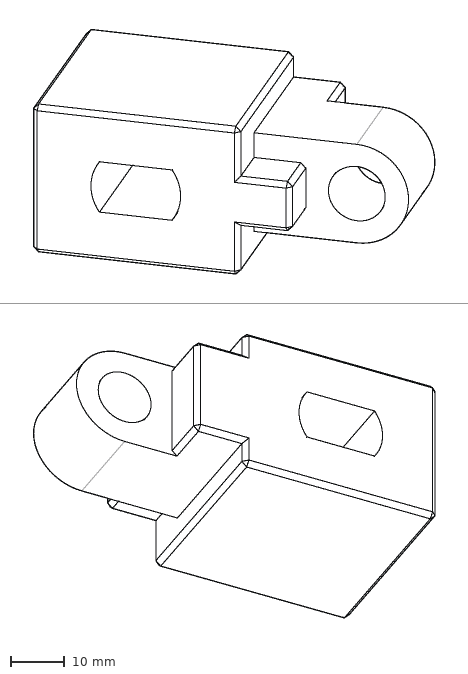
import cadquery as cq

body_length = 40.0
body_width = 38.0
body_height = 30.0
chamfer = 1.0

total_length = 69.85
lug_width = 18.0
lug_height = 20.0
lug_hole_diameter = 11.0
lug_radius = lug_height / 2
lug_center_x = total_length - lug_radius

shoulder_end_x = 50.0
low_shoulder_height = 10.0
tall_shoulder_height = lug_height

cross_hole_x = body_length / 2
cross_hole_diameter = 17.3
cross_hole_height = 10.2


def chamfered_block(x_start, x_end, y_start, y_end, height):
    """Block centred on Z with every outer edge chamfered."""
    block = cq.Workplane("XY").box(x_end - x_start, y_end - y_start, height)
    block = block.edges().chamfer(chamfer)
    return block.translate(((x_start + x_end) / 2, (y_start + y_end) / 2, 0))


def cylinder_along_y(x, diameter, length):
    """Cylinder centred on Y = 0 and Z = 0."""
    return cq.Workplane("XZ").center(x, 0).circle(diameter / 2).extrude(length / 2, both=True)


def make_lug():
    """Straight bar, rooted in the body, with a full-round end."""
    root_x = body_length / 2
    straight_length = lug_center_x - root_x
    bar = cq.Workplane("XY").box(straight_length, lug_width, lug_height)
    bar = bar.translate((root_x + straight_length / 2, 0, 0))
    return bar.union(cylinder_along_y(lug_center_x, lug_height, lug_width))


def make_cross_hole():
    """Cutter for the flat-sided hole through the body width."""
    flats = cq.Workplane("XY").box(cross_hole_diameter, body_width, cross_hole_height)
    flats = flats.translate((cross_hole_x, 0, 0))
    return cylinder_along_y(cross_hole_x, cross_hole_diameter, body_width).intersect(flats)


half_width = body_width / 2
shoulder_root_x = body_length / 2

body = chamfered_block(0, body_length, -half_width, half_width, body_height)
low_shoulder = chamfered_block(shoulder_root_x, shoulder_end_x, -half_width, 0, low_shoulder_height)
tall_shoulder = chamfered_block(shoulder_root_x, shoulder_end_x, 0, half_width, tall_shoulder_height)

result = body.union(low_shoulder).union(tall_shoulder).union(make_lug())
result = result.cut(make_cross_hole())
result = result.cut(cylinder_along_y(lug_center_x, lug_hole_diameter, lug_width))